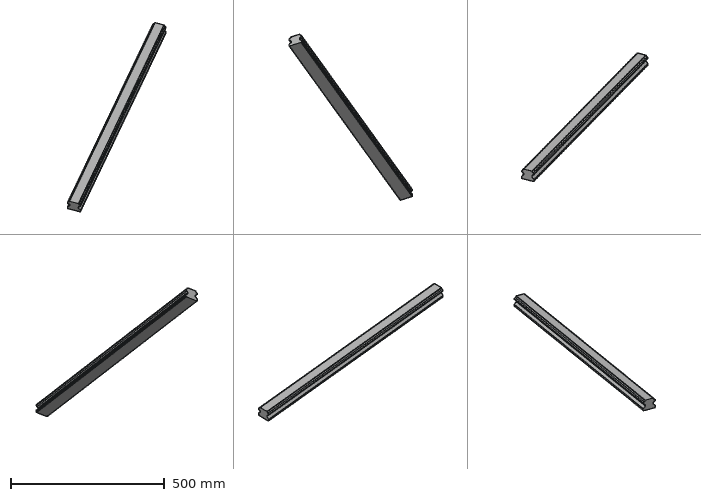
import cadquery as cq

length = 840.0
width = 45.0
height = 38.0

foot_chamfer = 2.0
foot_side_top = 8.0

web_width = 29.0
web_bottom = 16.0

land_bottom = 27.0
land_top = 29.0
flank = 3.0

raceway_radius = 3.0
shoulder_width = 33.0
raceway_rise = 4.0
top_width = 30.0


def half_outline():
    """Right half of the cross-section, closed along the centre plane."""
    side = width / 2
    web = web_width / 2
    shoulder = shoulder_width / 2
    lower_lip = land_bottom - flank
    web_top = lower_lip - raceway_rise
    upper_lip = land_top + flank
    return (
        cq.Workplane("XZ", origin=(0, length / 2, 0))
        .lineTo(side - foot_chamfer, 0)
        .lineTo(side, foot_chamfer)
        .lineTo(side, foot_side_top)
        .lineTo(web, web_bottom)
        .lineTo(web, web_top)
        .lineTo(shoulder, web_top)
        .radiusArc((side - flank, lower_lip), raceway_radius)
        .lineTo(side, land_bottom)
        .lineTo(side, land_top)
        .lineTo(side - flank, upper_lip)
        .radiusArc((shoulder, upper_lip + raceway_rise), raceway_radius)
        .lineTo(top_width / 2, height)
        .lineTo(0, height)
        .close()
    )


half_rail = half_outline().extrude(length)
result = half_rail.union(half_rail.mirror("YZ")).clean()